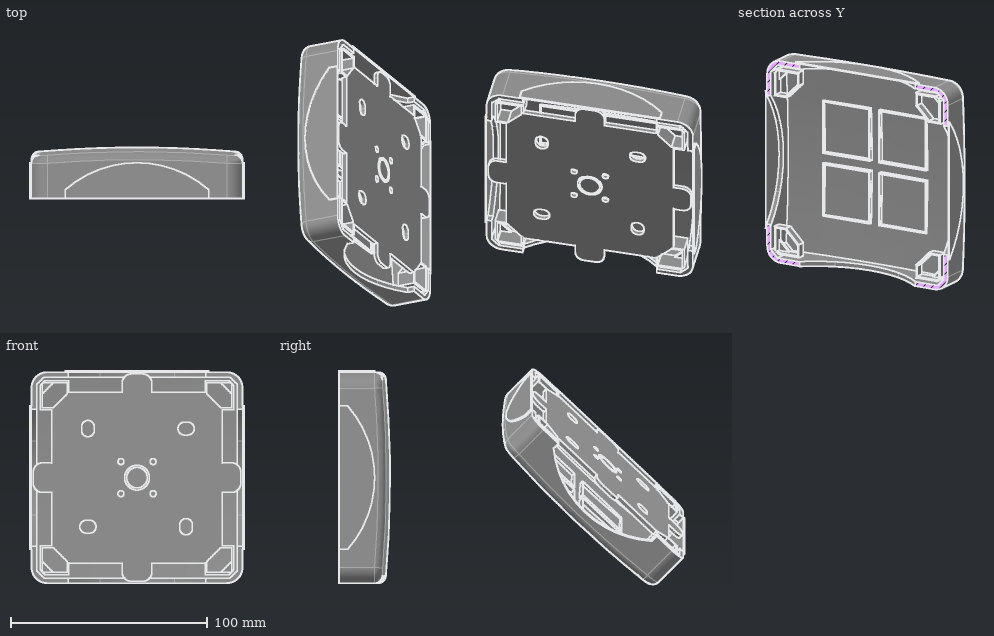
import cadquery as cq
import math

SIDE = 107.5
HALF = SIDE / 2
CORNER_RADIUS = 8.2
DEPTH = 26.2
DOME_RADIUS = 572.2
BACK_FILLET = 4.1
WALL = 2.6
CAVITY_HALF = HALF - WALL
CAVITY_CHAMFER = 3.8

FRAME_SIZE = 27.9
FRAME_CENTER = 16.7
FRAME_WALL = 0.5
FRAME_START = 21.1
FRAME_END = 24.0

PANEL_THICKNESS = 0.8
PANEL_HALF_WIDTH = 36.5
PANEL_CREST = 18.2
PANEL_ARC_RADIUS = 55.4
ARC_CENTER = PANEL_CREST - PANEL_ARC_RADIUS
PANEL_OVERLAP = 1.6
OPENING_HALF_WIDTH = PANEL_HALF_WIDTH - PANEL_OVERLAP
OPENING_ARC_RADIUS = PANEL_ARC_RADIUS - PANEL_OVERLAP
ARC_SPLIT = 18.9
PANEL_TURNS = (0, 90, -90)
SIDE_TURNS = (0, 90, 180, 270)

PLATE_HALF = 43.5
PLATE_THICKNESS = 2.5
TAB_REACH = 52.8
TAB_THICKNESS = 2.0
TAB_WIDTH = 15.0
TAB_RADIUS = 4.6

POCKET_DEPTH = 8.7
POCKET_OUTER_NEAR = 34.7
POCKET_OUTER_FAR = 49.3
POCKET_OUTER_CHAMFER = 2.4
POCKET_NEAR = 35.5
POCKET_FAR = 48.2
POCKET_CUT = 7.1
POCKET_WALL = POCKET_NEAR - POCKET_OUTER_NEAR
WEB_LEG = 5.6
WEB_START = 7.6

SLOT_CENTER = 25.0
SLOT_LENGTH = 8.3
SLOT_WIDTH = 6.5
HOLE_CENTER = 8.2
HOLE_DIAMETER = 3.0
GROOVE_OUTER_RADIUS = 6.3
GROOVE_INNER_RADIUS = 5.2
GROOVE_DEPTH = 0.8


def plane_at(y):
    """Sketch plane at the given y; extrude by a negative length to go toward +Y."""
    return cq.Workplane("XZ", origin=(0, y, 0))


def turned(body, angle):
    """Copy of a body turned about the Y axis."""
    return body.rotate((0, 0, 0), (0, 1, 0), angle)


def dome(inset):
    """Ball whose surface lies the given distance inside the back of the cover."""
    return cq.Workplane("XY").sphere(DOME_RADIUS - inset).translate((0, DEPTH - DOME_RADIUS, 0))


def arch(half_width, radius, start, thickness):
    """Arched plate at the top side, from z = start upward, with its foot at y = 0."""
    def height(x):
        return ARC_CENTER + math.sqrt(radius**2 - x**2)

    middle = (half_width + ARC_SPLIT) / 2
    return (
        cq.Workplane("XY", origin=(0, 0, start))
        .moveTo(-half_width, 0)
        .lineTo(-half_width, height(half_width))
        .threePointArc((-middle, height(middle)), (-ARC_SPLIT, height(ARC_SPLIT)))
        .threePointArc((0, height(0)), (ARC_SPLIT, height(ARC_SPLIT)))
        .threePointArc((middle, height(middle)), (half_width, height(half_width)))
        .lineTo(half_width, 0)
        .close()
        .extrude(thickness, clean=False)
    )


def make_panel(angle):
    panel = arch(PANEL_HALF_WIDTH, PANEL_ARC_RADIUS, HALF, PANEL_THICKNESS)
    return turned(panel, angle)


def four_frame_squares(size):
    """Square prisms of the given size at the four frame positions."""
    return (
        plane_at(FRAME_START)
        .rect(2 * FRAME_CENTER, 2 * FRAME_CENTER, forConstruction=True)
        .vertices()
        .rect(size, size)
        .extrude(FRAME_START - FRAME_END)
    )


def make_cover():
    shell = plane_at(0).rect(SIDE, SIDE).extrude(-DEPTH - WALL)
    shell = shell.edges("|Y").fillet(CORNER_RADIUS).intersect(dome(0))
    shell = shell.faces(">Y").edges().fillet(BACK_FILLET)

    cavity = plane_at(0).rect(2 * CAVITY_HALF, 2 * CAVITY_HALF).extrude(-DEPTH)
    cavity = cavity.edges("|Y").chamfer(CAVITY_CHAMFER).intersect(dome(WALL))
    cover = shell.cut(cavity)

    frame_hole = FRAME_SIZE - 2 * FRAME_WALL
    frames = four_frame_squares(FRAME_SIZE).cut(four_frame_squares(frame_hole))
    cover = cover.union(frames)

    opening = arch(OPENING_HALF_WIDTH, OPENING_ARC_RADIUS, CAVITY_HALF - WALL, 2 * WALL)
    for angle in SIDE_TURNS:
        cover = cover.cut(turned(opening, angle), clean=False)
    return cover


def corner_prism(near, far, near_cut):
    """Square prism in the (+X, +Z) corner, cut across the edge nearest the middle."""
    outline = [(near, far), (near, near + near_cut), (near + near_cut, near), (far, near), (far, far)]
    return plane_at(0).polyline(outline).close().extrude(-POCKET_DEPTH)


def corner_tube():
    """Outer shape of a pocket; its diagonal wall is as thick as its straight inner walls."""
    outer_cut = POCKET_CUT + (2 - math.sqrt(2)) * POCKET_WALL
    tube = corner_prism(POCKET_OUTER_NEAR, POCKET_OUTER_FAR, outer_cut)
    return tube.edges("|Y").edges(">(1, 0, 1)").chamfer(POCKET_OUTER_CHAMFER)


def corner_pocket():
    """Space inside a pocket, without the triangular web at its deep end."""
    web = (
        plane_at(WEB_START)
        .polyline([(POCKET_FAR, POCKET_FAR), (POCKET_FAR - WEB_LEG, POCKET_FAR),
                   (POCKET_FAR, POCKET_FAR - WEB_LEG)])
        .close()
        .extrude(WEB_START - POCKET_DEPTH)
    )
    return corner_prism(POCKET_NEAR, POCKET_FAR, POCKET_CUT).cut(web)


def make_base():
    base = plane_at(0).rect(2 * PLATE_HALF, 2 * PLATE_HALF).extrude(-PLATE_THICKNESS)
    for length, width in ((2 * TAB_REACH, TAB_WIDTH), (TAB_WIDTH, 2 * TAB_REACH)):
        strip = plane_at(0).rect(length, width).extrude(-TAB_THICKNESS)
        base = base.union(strip.edges("|Y").fillet(TAB_RADIUS))

    for angle in SIDE_TURNS:
        base = base.union(turned(corner_tube(), angle))
    for angle in SIDE_TURNS:
        base = base.cut(turned(corner_pocket(), angle))

    slot = (
        plane_at(0)
        .center(SLOT_CENTER, SLOT_CENTER)
        .slot2D(SLOT_LENGTH, SLOT_WIDTH)
        .extrude(-PLATE_THICKNESS)
    )
    for angle in SIDE_TURNS:
        base = base.cut(turned(slot, angle))

    holes = (
        plane_at(0)
        .rect(2 * HOLE_CENTER, 2 * HOLE_CENTER, forConstruction=True)
        .vertices()
        .circle(HOLE_DIAMETER / 2)
        .extrude(-PLATE_THICKNESS)
    )
    groove = (
        plane_at(0)
        .circle(GROOVE_OUTER_RADIUS)
        .circle(GROOVE_INNER_RADIUS)
        .extrude(-GROOVE_DEPTH)
    )
    return base.cut(holes).cut(groove)


cover = make_cover()
base = make_base()
panels = [make_panel(angle) for angle in PANEL_TURNS]

result = cq.Compound.makeCompound([cover.val(), base.val(), *[panel.val() for panel in panels]])